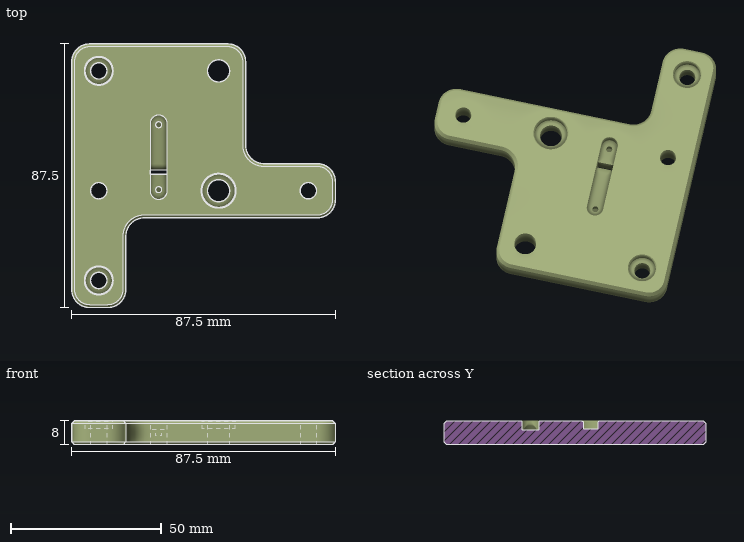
import cadquery as cq

SIDE = 87.5
THICKNESS = 8.0
ARM_WIDTH = 18.0
BODY_WIDTH = 57.7
CORNER_RADIUS = 6.0
EDGE_CHAMFER = 1.0

SCREW_DIAMETER = 5.3
SCREW_BORE_DIAMETER = 9.0
PIVOT_DIAMETER = 7.3
PIVOT_BORE_DIAMETER = 11.0
BORE_DEPTH = 2.6
RIM_CHAMFER = 0.3
NEAR = ARM_WIDTH / 2
MIDDLE = BODY_WIDTH - ARM_WIDTH / 2
FAR = SIDE - ARM_WIDTH / 2

SLOT_CENTER = (28.9, 37.6)
SLOT_LENGTH = 28.0
SLOT_WIDTH = 5.5
SLOT_DEPTH = 3.0
PIN_DIAMETER = 2.0
PIN_DEPTH = 2.0
PIN_SPACING = 21.5
LIP_RADIUS = 1.9
WINDOW_LENGTH = 1.3
SLOT_END_TO_WINDOW = 8.4

TOP = THICKNESS / 2
BOTTOM = -TOP
SLOT_FLOOR = TOP - SLOT_DEPTH


def from_corner(right, down):
    """Point at the given distances from the left and top sides of the centred plate."""
    return (right - SIDE / 2, SIDE / 2 - down)


def make_plate():
    arm_top = BODY_WIDTH - ARM_WIDTH
    corners = [
        (0, 0),
        (BODY_WIDTH, 0),
        (BODY_WIDTH, arm_top),
        (SIDE, arm_top),
        (SIDE, BODY_WIDTH),
        (ARM_WIDTH, BODY_WIDTH),
        (ARM_WIDTH, SIDE),
        (0, SIDE),
    ]
    plate = (
        cq.Workplane("XY", origin=(0, 0, BOTTOM))
        .polyline([from_corner(*corner) for corner in corners])
        .close()
        .extrude(THICKNESS)
    )
    plate = plate.edges("|Z").fillet(CORNER_RADIUS)
    return plate.faces("<Z or >Z").edges().chamfer(EDGE_CHAMFER)


def through_holes(diameter, places):
    return (
        cq.Workplane("XY", origin=(0, 0, BOTTOM))
        .pushPoints([from_corner(*place) for place in places])
        .circle(diameter / 2)
        .extrude(THICKNESS)
    )


def counterbore(diameter, place):
    """Cylindrical recess in the top face, with its rim flared by a chamfer."""
    radius = diameter / 2
    x, y = from_corner(*place)
    profile = [
        (0, -BORE_DEPTH),
        (radius, -BORE_DEPTH),
        (radius, -RIM_CHAMFER),
        (radius + RIM_CHAMFER, 0),
        (0, 0),
    ]
    return (
        cq.Workplane("XZ")
        .polyline(profile)
        .close()
        .revolve(360, (0, 0), (0, 1))
        .translate((x, y, TOP))
    )


def make_slot():
    """Round-ended pocket with two blind pin holes in its floor."""
    x, y = from_corner(*SLOT_CENTER)
    pocket = (
        cq.Workplane("XY", origin=(x, y, SLOT_FLOOR))
        .slot2D(SLOT_LENGTH, SLOT_WIDTH, 90)
        .extrude(SLOT_DEPTH)
    )
    pins = (
        cq.Workplane("XY", origin=(x, y, SLOT_FLOOR))
        .rarray(0.9, PIN_SPACING, 1, 2)
        .circle(PIN_DIAMETER / 2)
        .extrude(-PIN_DEPTH)
    )
    return pocket.union(pins)


def make_window():
    """Opening below the slot floor; its +Y edge is rounded over into the floor."""
    x, y = from_corner(*SLOT_CENTER)
    front = y - SLOT_LENGTH / 2 + SLOT_END_TO_WINDOW
    back = front + WINDOW_LENGTH
    return (
        cq.Workplane("YZ", origin=(x, 0, 0))
        .moveTo(front, BOTTOM)
        .lineTo(back, BOTTOM)
        .lineTo(back, SLOT_FLOOR - LIP_RADIUS)
        .radiusArc((back + LIP_RADIUS, SLOT_FLOOR), LIP_RADIUS)
        .lineTo(front, SLOT_FLOOR)
        .close()
        .extrude(SLOT_WIDTH / 2, both=True)
    )


screw_bore_places = [(NEAR, NEAR), (NEAR, FAR)]
plain_screw_places = [(NEAR, MIDDLE), (FAR, MIDDLE)]
pivot_bore_place = (MIDDLE, MIDDLE)
plain_pivot_place = (MIDDLE, NEAR)

result = make_plate()
result = result.cut(through_holes(SCREW_DIAMETER, screw_bore_places + plain_screw_places))
result = result.cut(through_holes(PIVOT_DIAMETER, [pivot_bore_place, plain_pivot_place]))
for bore_place in screw_bore_places:
    result = result.cut(counterbore(SCREW_BORE_DIAMETER, bore_place))
result = result.cut(counterbore(PIVOT_BORE_DIAMETER, pivot_bore_place))
result = result.cut(make_slot()).cut(make_window())